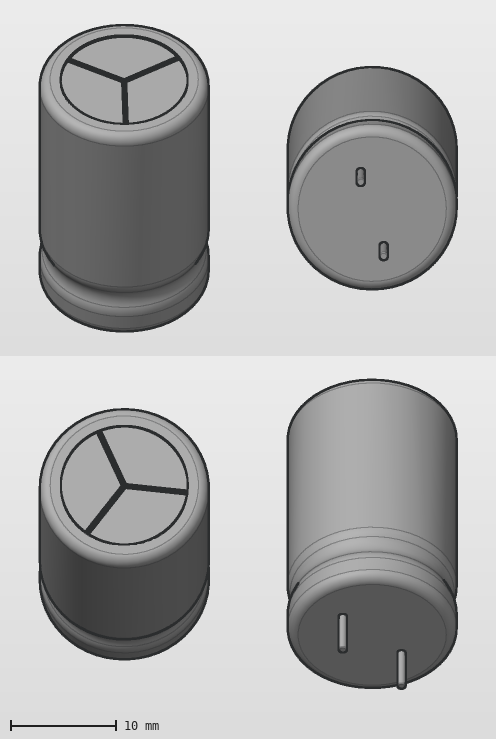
import cadquery as cq

can_diameter = 16.0
can_height = 26.0
rim_radius = 1.0

crimp_center_z = 4.5
crimp_height = 3.9
crimp_depth = 0.5

recess_diameter = 12.0
recess_depth = 0.2
score_count = 3
score_width = 0.4
score_floor_width = 0.12
score_depth = 0.15
first_score_angle = 60.0

lead_pitch = 7.5
lead_diameter = 0.8
lead_length = 4.3
lead_tip_radius = 0.1

can_radius = can_diameter / 2
recess_radius = recess_diameter / 2
recess_floor_z = can_height - recess_depth
score_floor_z = recess_floor_z - score_depth


def make_can():
    """Revolve the can profile; the crimp is made of tangent arcs of one radius."""
    half_height = crimp_height / 2
    arc_height = half_height / 2
    arc_depth = crimp_depth / 2
    lower_z = crimp_center_z - half_height
    upper_z = crimp_center_z + half_height
    inflection_r = can_radius - arc_depth
    neck_r = can_radius - crimp_depth
    flat_r = can_radius - rim_radius
    profile = (
        cq.Workplane("XZ")
        .lineTo(flat_r, 0)
        .tangentArcPoint((can_radius, rim_radius), relative=False)
        .lineTo(can_radius, lower_z)
        .tangentArcPoint((inflection_r, lower_z + arc_height), relative=False)
        .tangentArcPoint((neck_r, crimp_center_z), relative=False)
        .tangentArcPoint((inflection_r, upper_z - arc_height), relative=False)
        .tangentArcPoint((can_radius, upper_z), relative=False)
        .lineTo(can_radius, can_height - rim_radius)
        .tangentArcPoint((flat_r, can_height), relative=False)
        .lineTo(0, can_height)
        .close()
    )
    return profile.revolve(360, (0, 0, 0), (0, 1, 0))


def make_top_recess():
    """Shallow round recess in the top of the can."""
    return cq.Workplane("XY").workplane(offset=recess_floor_z).circle(recess_radius).extrude(recess_depth)


def make_scores():
    """Tapered, flat-bottomed vent scores running from the center to the edge of the recess."""
    bounds = cq.Workplane("XY").circle(recess_radius).extrude(can_height)
    score = (
        cq.Workplane("YZ")
        .moveTo(-score_width / 2, recess_floor_z)
        .lineTo(-score_floor_width / 2, score_floor_z)
        .lineTo(score_floor_width / 2, score_floor_z)
        .lineTo(score_width / 2, recess_floor_z)
        .close()
        .extrude(can_radius)
    )
    scores = cq.Workplane("XY")
    for index in range(score_count):
        angle = first_score_angle + index * 360 / score_count
        scores = scores.union(score.rotate((0, 0, 0), (0, 0, 1), angle))
    return scores.intersect(bounds)


def make_leads():
    """Two round wires with rounded tips."""
    return (
        cq.Workplane("XY")
        .pushPoints([(-lead_pitch / 2, 0), (lead_pitch / 2, 0)])
        .circle(lead_diameter / 2)
        .extrude(-lead_length)
        .faces("<Z")
        .edges()
        .fillet(lead_tip_radius)
    )


result = make_can().cut(make_top_recess()).cut(make_scores()).union(make_leads())